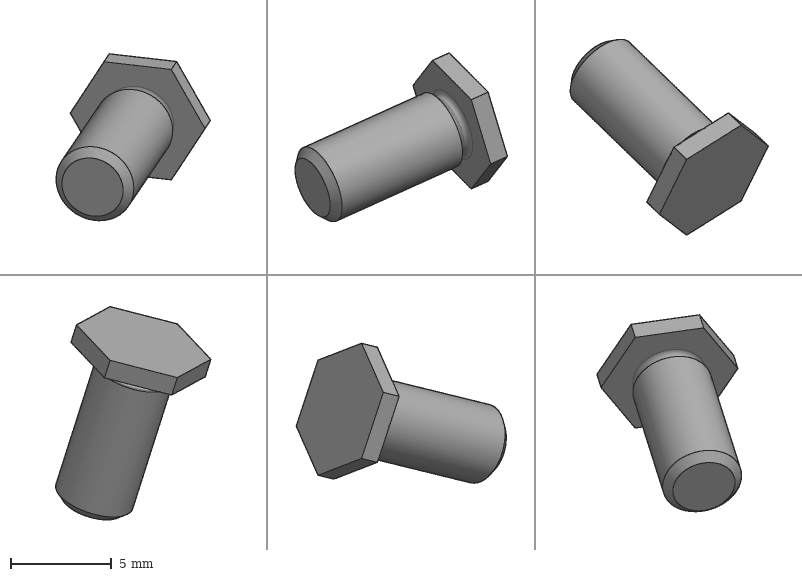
import cadquery as cq
import math

total_length = 9.3
across_flats = 6.0
across_corners = across_flats / math.cos(math.pi / 6)
head_thickness = 1.0
shank_radius = 2.0
tip_chamfer = 0.43

groove_width = 0.7
groove_radius = 1.55
groove_floor = 0.08
fillet_radius = (groove_width - groove_floor) / 2

head_top = total_length / 2
head_face = head_top - head_thickness
shank_start = head_face - groove_width
tip = -total_length / 2

head = (
    cq.Workplane("XZ", origin=(0, head_top, 0))
    .polygon(6, across_corners)
    .extrude(head_thickness)
)

lip_radius = groove_radius + fillet_radius
arc_rise = fillet_radius * math.sqrt(0.5)
arc_middle_radius = lip_radius - arc_rise

shank = (
    cq.Workplane("XY")
    .moveTo(0, head_top)
    .lineTo(lip_radius, head_top)
    .lineTo(lip_radius, head_face)
    .threePointArc(
        (arc_middle_radius, head_face - fillet_radius + arc_rise),
        (groove_radius, head_face - fillet_radius),
    )
    .lineTo(groove_radius, shank_start + fillet_radius)
    .threePointArc(
        (arc_middle_radius, shank_start + fillet_radius - arc_rise),
        (lip_radius, shank_start),
    )
    .lineTo(shank_radius, shank_start)
    .lineTo(shank_radius, tip + tip_chamfer)
    .lineTo(shank_radius - tip_chamfer, tip)
    .lineTo(0, tip)
    .close()
    .revolve(360, (0, 0, 0), (0, 1, 0))
)

result = head.union(shank)